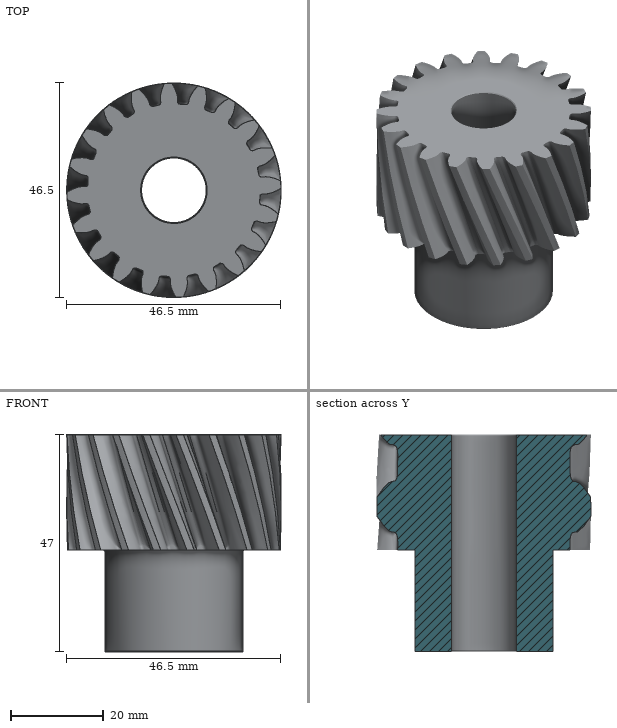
import cadquery as cq
import math

tooth_count = 20
outer_diameter = 46.45
gear_width = 25.0
helix_angle = math.radians(19.5)
pressure_angle = math.radians(20)
dedendum_factor = 1.25
root_fillet = 0.65
flank_segments = 5

total_height = 47.0
hub_diameter = 30.0
bore_diameter = 14.0
edge_break = 0.2

hub_length = total_height - gear_width
outer_radius = outer_diameter / 2
module = outer_diameter / (tooth_count / math.cos(helix_angle) + 2)
pitch_radius = outer_radius - module
root_radius = pitch_radius - dedendum_factor * module
base_radius = pitch_radius * math.cos(pressure_angle)
tooth_pitch = 2 * math.pi / tooth_count
twist = gear_width * math.tan(helix_angle) / pitch_radius


def polar(radius, angle):
    return (radius * math.cos(angle), radius * math.sin(angle))


def involute(angle):
    """Polar angle swept by an involute up to the given pressure angle."""
    return math.tan(angle) - angle


base_half_angle = tooth_pitch / 4 + involute(pressure_angle)


def flank_half_angle(radius):
    """Half the angle a tooth fills at a radius on its involute flank."""
    return base_half_angle - involute(math.acos(base_radius / radius))


def gear_profile(start_angle):
    """Closed gear outline, counterclockwise, with one tooth at start_angle."""
    radius_step = (outer_radius - base_radius) / flank_segments
    flank_radii = [base_radius + i * radius_step for i in range(flank_segments + 1)]
    flank = [(radius, flank_half_angle(radius)) for radius in flank_radii]
    tip_half_angle = flank_half_angle(outer_radius)

    fillet_angle = math.asin(root_fillet / (root_radius + root_fillet))
    fillet_top_radius = root_fillet / math.tan(fillet_angle)
    root_half_angle = base_half_angle + fillet_angle
    middle_direction = 5 * math.pi / 4 + fillet_angle / 2
    middle_along = fillet_top_radius + root_fillet * math.cos(middle_direction)
    middle_across = root_fillet + root_fillet * math.sin(middle_direction)
    fillet_middle_radius = math.hypot(middle_along, middle_across)
    fillet_middle_angle = base_half_angle + math.atan2(middle_across, middle_along)

    outline = cq.Workplane("XY").moveTo(*polar(root_radius, start_angle - root_half_angle))
    for tooth in range(tooth_count):
        middle = start_angle + tooth * tooth_pitch
        flank_end = polar(fillet_top_radius, middle + base_half_angle)
        rising = [polar(radius, middle - half_angle) for radius, half_angle in flank]
        falling = [polar(radius, middle + half_angle) for radius, half_angle in reversed(flank)]
        outline = (
            outline.threePointArc(
                polar(fillet_middle_radius, middle - fillet_middle_angle),
                polar(fillet_top_radius, middle - base_half_angle),
            )
            .spline(rising, includeCurrent=True)
            .threePointArc(
                polar(outer_radius, middle),
                polar(outer_radius, middle + tip_half_angle),
            )
            .spline(falling[1:] + [flank_end], includeCurrent=True)
            .threePointArc(
                polar(fillet_middle_radius, middle + fillet_middle_angle),
                polar(root_radius, middle + root_half_angle),
            )
            .threePointArc(
                polar(root_radius, middle + tooth_pitch / 2),
                polar(root_radius, middle + tooth_pitch - root_half_angle),
            )
        )
    return outline.close()


gear = (
    gear_profile(tooth_pitch / 2)
    .twistExtrude(gear_width, -math.degrees(twist))
    .translate((0, 0, hub_length))
)

hub_radius = hub_diameter / 2
fillet_middle_offset = edge_break * (1 - math.sqrt(0.5))
hub = (
    cq.Workplane("XZ")
    .lineTo(hub_radius - edge_break, 0)
    .lineTo(hub_radius, edge_break)
    .lineTo(hub_radius, hub_length - edge_break)
    .threePointArc(
        (hub_radius + fillet_middle_offset, hub_length - fillet_middle_offset),
        (hub_radius + edge_break, hub_length),
    )
    .lineTo(0, hub_length)
    .close()
    .revolve(360, (0, 0, 0), (0, 1, 0))
)

bore_radius = bore_diameter / 2
bore = (
    cq.Workplane("XZ")
    .lineTo(bore_radius + edge_break, 0)
    .lineTo(bore_radius, edge_break)
    .lineTo(bore_radius, total_height - edge_break)
    .lineTo(bore_radius + edge_break, total_height)
    .lineTo(0, total_height)
    .close()
    .revolve(360, (0, 0, 0), (0, 1, 0))
)

result = gear.union(hub).cut(bore)